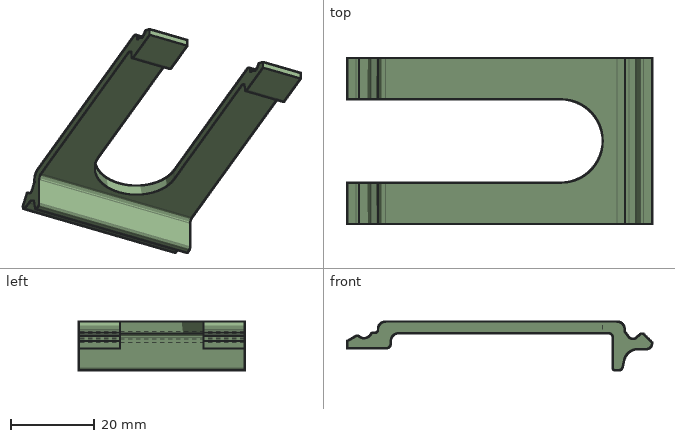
import cadquery as cq
import math

length = 73.5
width = 40.0
height = 11.8

plate_thickness = 2.85
plate_bottom = height - plate_thickness
plate_edge_radius = 1.9

slot_width = 20.0
slot_end_x = 61.5

hook_bottom = 5.3
hook_tip_z = 7.1
hook_ridge_x = 2.5
hook_ridge_angle = 30.0
hook_ridge_z = hook_tip_z + hook_ridge_x * math.tan(math.radians(hook_ridge_angle))
hook_ridge_radius = 0.645
hook_groove_x = 4.5
hook_groove_z = 6.8
hook_groove_radius = 1.9
hook_step_x = 5.925
hook_step_z = 9.1
hook_step_radius = 0.57
hook_wall_x = 7.4
hook_wall_thickness = 3.15
hook_inner_x = hook_wall_x + hook_wall_thickness
hook_foot_radius = 1.2
hook_outer_corner_radius = 0.65
hook_inner_corner_radius = 1.9

leg_front_x = 63.95
leg_foot_back_x = 66.2
leg_top_back_x = 67.3
leg_inner_radius = 1.0
leg_foot_front_radius = 0.6
leg_foot_back_radius = 1.1
leg_web_radius = 3.3

catch_bottom = 5.1
catch_back_x = 73.3
catch_back_radius = 1.5
catch_tip_z = 6.7
catch_ridge_x = 71.02
catch_ridge_z = 9.15
catch_ridge_radius = 0.52
catch_groove_x = 68.6
catch_groove_z = 7.07
catch_groove_radius = 1.2
catch_wall_x = 66.86
catch_wall_bottom = 9.4

SHARP = 0.0


def rounded_outline(corners):
    """Closed XZ wire through (x, z, radius) corners, each rounded by a tangent arc."""
    outline = None
    for index, (x, z, radius) in enumerate(corners):
        corner = cq.Vector(x, z, 0)
        before_x, before_z, _ = corners[index - 1]
        after_x, after_z, _ = corners[(index + 1) % len(corners)]
        to_before = (cq.Vector(before_x, before_z, 0) - corner).normalized()
        to_after = (cq.Vector(after_x, after_z, 0) - corner).normalized()
        half_angle = to_before.getAngle(to_after) / 2
        setback = radius / math.tan(half_angle)
        start = corner + to_before * setback
        if outline is None:
            outline = cq.Workplane("XZ").moveTo(start.x, start.y)
        else:
            outline = outline.lineTo(start.x, start.y)
        if radius > SHARP:
            bisector = (to_before + to_after).normalized()
            middle = corner + bisector * (radius / math.sin(half_angle) - radius)
            end = corner + to_after * setback
            outline = outline.threePointArc((middle.x, middle.y), (end.x, end.y))
    return outline.close()


def make_profile_body():
    hook_top = [
        (0, hook_bottom, SHARP),
        (0, hook_tip_z, SHARP),
        (hook_ridge_x, hook_ridge_z, hook_ridge_radius),
        (hook_groove_x, hook_groove_z, hook_groove_radius),
        (hook_step_x, hook_step_z, hook_step_radius),
        (hook_wall_x, hook_step_z, hook_outer_corner_radius),
        (hook_wall_x, height, plate_edge_radius),
    ]
    catch = [
        (catch_wall_x, height, plate_edge_radius),
        (catch_wall_x, catch_wall_bottom, SHARP),
        (catch_groove_x, catch_groove_z, catch_groove_radius),
        (catch_ridge_x, catch_ridge_z, catch_ridge_radius),
        (length, catch_tip_z, SHARP),
        (catch_back_x, catch_bottom, catch_back_radius),
    ]
    leg = [
        (leg_top_back_x, catch_bottom, leg_web_radius),
        (leg_foot_back_x, 0, leg_foot_back_radius),
        (leg_front_x, 0, leg_foot_front_radius),
        (leg_front_x, plate_bottom, leg_inner_radius),
    ]
    hook_underside = [
        (hook_inner_x, plate_bottom, hook_inner_corner_radius),
        (hook_inner_x, hook_bottom, hook_foot_radius),
    ]
    outline = rounded_outline(hook_top + catch + leg + hook_underside)
    return outline.extrude(width / 2, both=True)


def make_slot():
    end_radius = slot_width / 2
    straight_end_x = slot_end_x - end_radius
    return (
        cq.Workplane("XY")
        .moveTo(0, -end_radius)
        .lineTo(straight_end_x, -end_radius)
        .threePointArc((slot_end_x, 0), (straight_end_x, end_radius))
        .lineTo(0, end_radius)
        .close()
        .extrude(height)
    )


result = make_profile_body().cut(make_slot())